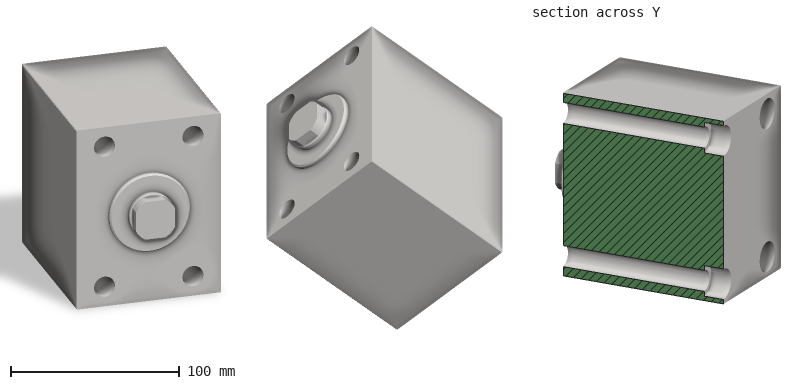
import cadquery as cq

TOTAL_LENGTH = 121.5
BLOCK_WIDTH = 90.0
BLOCK_HEIGHT = 115.0

GLAND_LENGTH = 3.0
SHOULDER_LENGTH = 3.5
TIP_LENGTH = 6.9
BLOCK_LENGTH = TOTAL_LENGTH - GLAND_LENGTH - SHOULDER_LENGTH - TIP_LENGTH

BLOCK_EDGE_CHAMFER = 0.5
SCREW_SPACING_Y = 55.0
SCREW_SPACING_Z = 90.0
SCREW_HOLE_DIAMETER = 13.0
COUNTERBORE_DIAMETER = 19.0
COUNTERBORE_DEPTH = 13.0

GLAND_DIAMETER = 50.0
GLAND_CHAMFER = 1.0

ROD_DIAMETER = 28.0
ROD_CHAMFER = 0.5
TIP_DIAMETER = ROD_DIAMETER - 2 * ROD_CHAMFER
TIP_ACROSS_FLATS = 24.0

GLAND_START = BLOCK_LENGTH
TIP_START = TOTAL_LENGTH - TIP_LENGTH


def cross_section(x):
    """Workplane at the given X, facing +X, with its local axes along Y and Z."""
    return cq.Workplane("YZ", origin=(x, 0, 0))


def make_block():
    """Rectangular block with a counterbored through hole near each corner."""
    block = (
        cross_section(0)
        .rect(BLOCK_WIDTH, BLOCK_HEIGHT)
        .extrude(BLOCK_LENGTH)
        .edges("|X")
        .chamfer(BLOCK_EDGE_CHAMFER)
    )
    screw_pattern = cross_section(0).rect(SCREW_SPACING_Y, SCREW_SPACING_Z, forConstruction=True).vertices()
    screw_holes = screw_pattern.circle(SCREW_HOLE_DIAMETER / 2).extrude(BLOCK_LENGTH)
    counterbores = screw_pattern.circle(COUNTERBORE_DIAMETER / 2).extrude(COUNTERBORE_DEPTH)
    return block.cut(screw_holes).cut(counterbores)


def make_gland():
    """Collar on the +X face of the block, bored to fit the rod."""
    collar = (
        cross_section(GLAND_START)
        .circle(GLAND_DIAMETER / 2)
        .extrude(GLAND_LENGTH)
        .faces(">X")
        .edges()
        .chamfer(GLAND_CHAMFER)
    )
    rod_bore = cross_section(GLAND_START).circle(ROD_DIAMETER / 2).extrude(GLAND_LENGTH)
    return collar.cut(rod_bore)


def make_rod():
    """Rod that passes through the gland and ends in a tip with four flats."""
    shoulder = (
        cross_section(GLAND_START)
        .circle(ROD_DIAMETER / 2)
        .extrude(GLAND_LENGTH + SHOULDER_LENGTH)
        .faces(">X")
        .edges()
        .chamfer(ROD_CHAMFER)
    )
    round_tip = cross_section(TIP_START).circle(TIP_DIAMETER / 2).extrude(TIP_LENGTH)
    flats = cross_section(TIP_START).rect(TIP_ACROSS_FLATS, TIP_ACROSS_FLATS).extrude(TIP_LENGTH)
    return shoulder.union(round_tip.intersect(flats))


block = make_block()
gland = make_gland()
rod = make_rod()

result = cq.Compound.makeCompound([block.val(), gland.val(), rod.val()])